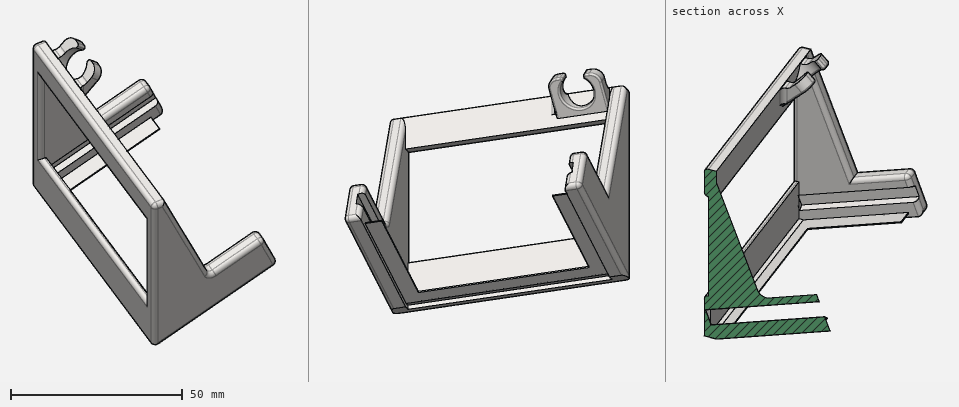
import cadquery as cq
import math

width = 73.9
height = 59.8
plate_thickness = 4.0
wall_thickness = 2.0
arm_width = 5.2
edge_radius = 1.5

foot_tilt = 20.0
foot_length = 39.9
foot_height = 14.0
brace_foot_y = 18.9
inner_corner_radius = 1.5

window_bottom = 14.7
window_top = 49.8

ledge_bottom = 1.3
ledge_thickness = 0.4
ledge_width = 5.2
ledge_front_width = 3.1
ledge_end_gap = 4.3

groove_bottom = 4.95
groove_top = 10.05
groove_depth = 1.85
groove_flare = 0.75

clip_tilt = 45.0
clip_left = arm_width
clip_width = 16.5
clip_thickness = 3.6
clip_tip_y = 10.2
clip_tip_z = 63.7
clip_corner_radius = 3.1
clip_hole_radius = 5.1
clip_hole_from_tip = 5.25
clip_gap = 6.35
clip_tip_radius = 0.7
clip_lower_radius = 0.6
clip_root_drop = 0.3
clip_root_radius = 2.4
clip_side_radius = 1.5

inner_width = width - 2 * arm_width
along = (math.cos(math.radians(foot_tilt)), math.sin(math.radians(foot_tilt)))
up = (-along[1], along[0])


def foot_point(distance, rise):
    """(y, z) of a point measured along and square to the sloping underside."""
    y = plate_thickness + distance * along[0] + rise * up[0]
    z = distance * along[1] + rise * up[1]
    return (y, z)


brace_bottom = (plate_thickness, 0)
brace_top = (plate_thickness, height)
brace_foot_distance = (brace_foot_y - plate_thickness - foot_height * up[0]) / along[0]
brace_foot = foot_point(brace_foot_distance, foot_height)
foot_end_top = foot_point(foot_length, foot_height)
foot_end_bottom = foot_point(foot_length, 0)


def extrude_x(points, x_start, length):
    """Prism along X from a (y, z) outline."""
    return cq.Workplane("YZ", origin=(x_start, 0, 0)).polyline(points).close().extrude(length)


def corner_box(origin, length_x, length_y, length_z):
    """Box that grows from its lowest corner."""
    return cq.Workplane("XY", origin=origin).box(length_x, length_y, length_z, centered=False)


def edges_near(place, reach=0.9):
    """Selector for edges whose middle lies close to a (y, z) place."""
    y, z = place
    return cq.selectors.BoxSelector((-0.75, y - reach, z - reach), (width + 0.75, y + reach, z + reach))


def middle(a, b):
    return ((a[0] + b[0]) / 2, (a[1] + b[1]) / 2)


def make_arm(x_start, outer_side, corner_radius=0):
    """Side arm with every edge behind the plate rounded, except the lower inner one."""
    outline = [(0, 0), brace_bottom, foot_end_bottom, foot_end_top, brace_foot, brace_top, (0, height)]
    arm = extrude_x(outline, x_start, arm_width)
    if corner_radius:
        arm = arm.edges(edges_near(brace_foot)).fillet(corner_radius)

    rounded = []
    for place in (
        middle(brace_foot, brace_top),
        middle(brace_foot, foot_end_top),
        middle(foot_end_bottom, foot_end_top),
        foot_end_bottom,
        foot_end_top,
    ):
        rounded += arm.edges(edges_near(place)).vals()
    underside = arm.edges(edges_near(middle(brace_bottom, foot_end_bottom)))
    rounded += underside.edges(outer_side).vals()
    return arm.newObject(rounded).fillet(edge_radius)


def make_plate():
    """Front plate, thinned from behind below its top rail."""
    plate = corner_box((arm_width / 2, 0, 0), width - arm_width, plate_thickness, height)
    thinning = corner_box((arm_width, wall_thickness, 0), inner_width, plate_thickness, window_top)
    return plate.cut(thinning)


def make_envelope():
    """Block with rounded front and top edges that bounds the whole frame."""
    block = corner_box((0, 0, 0), width, height, height)
    return block.edges("(|Z and <Y) or (>Z and (not >Y))").fillet(edge_radius)


def cut_window(frame):
    """Cut the window between the arms and round its front rim."""
    window = corner_box(
        (arm_width, 0, window_bottom), inner_width, plate_thickness, window_top - window_bottom)
    rim = cq.selectors.BoxSelector(
        (arm_width - 0.75, -0.75, window_bottom - 0.75), (width - arm_width + 0.75, 0.75, window_top + 0.75))
    return frame.cut(window).edges(rim).edges("<Y").fillet(edge_radius)


def make_groove():
    """Groove along the inner face of the left arm, wider at its mouth than at its back."""
    section = [
        (0, groove_bottom),
        (-groove_depth, groove_bottom + groove_flare),
        (-groove_depth, groove_top - groove_flare),
        (0, groove_top),
    ]
    plane = cq.Plane(
        origin=(arm_width, plate_thickness, 0), xDir=(1, 0, 0), normal=(0, -along[0], -along[1]))
    return cq.Workplane(plane).polyline(section).close().extrude(-foot_length)


def make_ledge():
    """Thin U-shaped shelf between the arms, parallel to the underside."""
    length = foot_length - ledge_end_gap
    ledge_top = ledge_bottom + ledge_thickness
    plate_core_y = wall_thickness / 2
    outline = [
        (plate_core_y, ledge_bottom),
        foot_point(0, ledge_bottom),
        foot_point(length, ledge_bottom),
        foot_point(length, ledge_top),
        foot_point(0, ledge_top),
        (plate_core_y, ledge_top),
    ]
    shelf = extrude_x(outline, arm_width, inner_width)
    opening = corner_box(
        (arm_width + ledge_width, plate_thickness + ledge_front_width, 0),
        inner_width - 2 * ledge_width, height, height)
    return shelf.cut(opening)


def make_clip():
    """Open ring on a tilted plate, blended into the back of the top rail."""
    tilt_cos = math.cos(math.radians(clip_tilt))
    tilt_sin = math.sin(math.radians(clip_tilt))
    clip_middle = clip_left + clip_width / 2
    clip_right = clip_left + clip_width
    ring_axis = cq.Vector(0, -tilt_sin, tilt_cos)
    top_plane = cq.Workplane(
        cq.Plane(origin=(clip_middle, clip_tip_y, clip_tip_z), xDir=(1, 0, 0), normal=ring_axis))
    along_axis = cq.selectors.ParallelDirSelector(ring_axis)
    lower_face = cq.selectors.DirectionMinMaxSelector(ring_axis, directionMax=False)

    blank_length = 2 * clip_tip_y
    blank = top_plane.center(0, -blank_length / 2).rect(clip_width, blank_length).extrude(-clip_thickness)
    blank = blank.edges(along_axis).edges(">Y").fillet(clip_corner_radius)
    hole = top_plane.center(0, -clip_hole_from_tip).circle(clip_hole_radius)
    hole = hole.extrude(clip_thickness, both=True)
    gap = top_plane.center(0, -clip_hole_from_tip / 2).rect(clip_gap, clip_hole_from_tip)
    gap = gap.extrude(-clip_thickness)
    gap_sides = cq.selectors.BoxSelector(
        (clip_middle - clip_gap / 2 - 0.1, 0, 0), (clip_middle + clip_gap / 2 + 0.1, width, width))
    ring = blank.cut(gap).cut(hole)
    ring = ring.edges(along_axis).edges(gap_sides).edges(">Y").fillet(clip_tip_radius)
    ring = ring.faces(lower_face).edges().fillet(clip_lower_radius)

    root_level = height - clip_root_drop
    bend_y = clip_tip_y - (clip_tip_z - root_level) * tilt_cos / tilt_sin
    ring_top_at_plate = root_level - (bend_y - plate_thickness) * tilt_sin / tilt_cos
    half_bend = math.radians(clip_tilt / 2)
    tangent = clip_root_radius * math.tan(half_bend)
    sag = clip_root_radius * (1 / math.cos(half_bend) - 1)
    root = (
        cq.Workplane("YZ", origin=(clip_left, 0, 0))
        .moveTo(plate_thickness, root_level)
        .lineTo(bend_y - tangent, root_level)
        .threePointArc(
            (bend_y - sag * math.sin(half_bend), root_level + sag * math.cos(half_bend)),
            (bend_y + tangent * tilt_cos, root_level + tangent * tilt_sin))
        .lineTo(plate_thickness, ring_top_at_plate)
        .close()
        .extrude(clip_width)
    )

    flare_bottom = ring_top_at_plate + clip_side_radius - clip_thickness / tilt_cos
    flare_sag = clip_side_radius * (1 - math.sqrt(0.5))
    flare = (
        cq.Workplane("XY", origin=(clip_right, plate_thickness, flare_bottom))
        .moveTo(-clip_side_radius, 0)
        .lineTo(clip_side_radius, 0)
        .threePointArc((flare_sag, flare_sag), (0, clip_side_radius))
        .lineTo(-clip_side_radius, clip_side_radius)
        .close()
        .extrude(root_level - flare_bottom)
    )

    behind_rail = corner_box((0, plate_thickness, 0), width, height, 2 * height)
    return ring.union(root.cut(hole)).union(flare).intersect(behind_rail)


left_arm = make_arm(0, "<X")
right_arm = make_arm(width - arm_width, ">X", inner_corner_radius)
frame = left_arm.union(right_arm).union(make_plate()).clean()
frame = cut_window(frame.intersect(make_envelope()))

left_groove = make_groove()
right_groove = left_groove.mirror("YZ", (width / 2, 0, 0))
frame = frame.cut(left_groove).cut(right_groove)

result = frame.union(make_ledge()).union(make_clip())